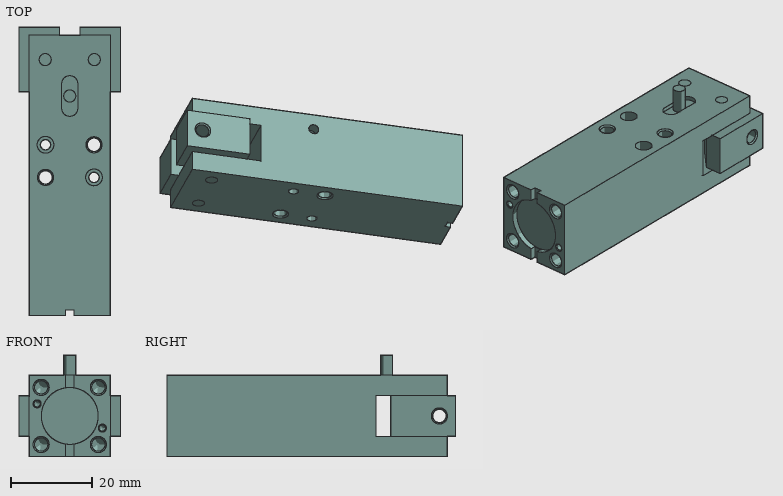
import cadquery as cq
import math

HOUSING_WIDTH = 20.0
HOUSING_HEIGHT = HOUSING_WIDTH
OVERALL_LENGTH = 71.0
JAW_OVERHANG = 2.0
HOUSING_LENGTH = OVERALL_LENGTH - JAW_OVERHANG
MID_HEIGHT = HOUSING_HEIGHT / 2

SIDES = (-1, 1)

JAW_WIDTH = 10.0
JAW_LENGTH = 16.0
JAW_HEIGHT = JAW_WIDTH
JAW_OUTER_X = 12.5
JAW_INNER_X = JAW_OUTER_X - JAW_WIDTH
JAW_HEEL_Y = OVERALL_LENGTH - JAW_LENGTH
JAW_HEEL_CHAMFER = 5.55
WINDOW_DEPTH = 17.55
PIVOT_DIAMETER = 3.0
PIVOT_X = 6.0
PIVOT_Y = OVERALL_LENGTH - 8.0
JAW_HOLE_Y = OVERALL_LENGTH - 4.0

TAP_DRILL = 3.3
TAP_MOUTH = 4.0
SMALL_TAP_DRILL = 1.55
SMALL_TAP_MOUTH = 2.0
DRILL_POINT_ANGLE = 118
END_HOLE_DEPTH = 8.0
END_HOLE_OFFSET = 7.0
SMALL_END_HOLE_DEPTH = 4.0
SMALL_END_HOLE_X = 8.0
SMALL_END_HOLE_RISE = 3.0

TOP_HOLE_X = 5.95
TOP_HOLE_ROWS = (34.0, 42.0)
DOWEL_HOLE = 2.5
DOWEL_COUNTERBORE = 4.1
DOWEL_COUNTERBORE_DEPTH = 3.3

SLOT_Y = OVERALL_LENGTH - 17.0
SLOT_LENGTH = 10.0
SLOT_WIDTH = 4.0
SLOT_DEPTH = 1.0
POST_DIAMETER = 3.0
POST_RISE = 5.0

PORT_DIAMETER = 2.5
PORT_DEPTH = 3.0
PORT_Y = 38.0
PORT_Z = 16.0

RECESS_DIAMETER = 14.0
RECESS_DEPTH = 1.5
KEY_SLOT_WIDTH = 2.0
KEY_SLOT_DEPTH = 1.35


def drilled_hole(diameter, depth):
    """Cutter for a blind hole with a drill point, running along +Z from the origin."""
    radius = diameter / 2
    tip = depth + radius / math.tan(math.radians(DRILL_POINT_ANGLE / 2))
    profile = [(0, 0), (radius, 0), (radius, depth), (0, tip)]
    return cq.Workplane("XZ").polyline(profile).close().revolve(360, (0, 0), (0, 1))


def countersink(bore, mouth):
    """Cutter for a 45 degree countersink, narrowing from mouth to bore along +Z from the origin."""
    return cq.Workplane(cq.Solid.makeCone(mouth / 2, bore / 2, (mouth - bore) / 2))


def tapped_hole(bore, mouth, depth):
    """Cutter for a countersunk blind hole, running along +Z from the origin."""
    return drilled_hole(bore, depth).union(countersink(bore, mouth))


def through_tapped_hole(bore, mouth, length):
    """Cutter for a hole countersunk at both ends, running along +Z from the origin."""
    near_mouth = countersink(bore, mouth)
    far_mouth = near_mouth.rotate((0, 0, 0), (1, 0, 0), 180).translate((0, 0, length))
    return upright_cylinder(bore, 0, 0, 0, length).union(near_mouth).union(far_mouth)


def upright_cylinder(diameter, x, y, bottom, top):
    """Vertical cylinder about (x, y) between two heights."""
    return cq.Workplane("XY").workplane(offset=bottom).center(x, y).circle(diameter / 2).extrude(top - bottom)


def cut_jaw_window(housing):
    """Window through the full width, open at the far end, with bores for the jaw pivots."""
    window = cq.Workplane("XY").box(HOUSING_WIDTH, WINDOW_DEPTH, JAW_HEIGHT).translate(
        (0, HOUSING_LENGTH - WINDOW_DEPTH / 2, MID_HEIGHT)
    )
    housing = housing.cut(window)
    for side in SIDES:
        housing = housing.cut(upright_cylinder(PIVOT_DIAMETER, side * PIVOT_X, PIVOT_Y, 0, HOUSING_HEIGHT))
    return housing


def cut_top_holes(housing):
    """Two tapped and two counterbored through holes, each pair set on a diagonal."""
    near_row, far_row = TOP_HOLE_ROWS
    for x, y in ((-TOP_HOLE_X, near_row), (TOP_HOLE_X, far_row)):
        housing = housing.cut(through_tapped_hole(TAP_DRILL, TAP_MOUTH, HOUSING_HEIGHT).translate((x, y, 0)))
    counterbore_floor = HOUSING_HEIGHT - DOWEL_COUNTERBORE_DEPTH
    for x, y in ((-TOP_HOLE_X, far_row), (TOP_HOLE_X, near_row)):
        housing = housing.cut(upright_cylinder(DOWEL_HOLE, x, y, 0, HOUSING_HEIGHT))
        housing = housing.cut(upright_cylinder(DOWEL_COUNTERBORE, x, y, counterbore_floor, HOUSING_HEIGHT))
    return housing


def add_guide_slot_and_post(housing):
    """Blind slot in the top face with a post standing on its floor."""
    slot_floor = HOUSING_HEIGHT - SLOT_DEPTH
    slot = (
        cq.Workplane("XY")
        .workplane(offset=slot_floor)
        .center(0, SLOT_Y)
        .slot2D(SLOT_LENGTH, SLOT_WIDTH, 90)
        .extrude(SLOT_DEPTH)
    )
    post = upright_cylinder(POST_DIAMETER, 0, SLOT_Y, slot_floor, HOUSING_HEIGHT + POST_RISE)
    return housing.cut(slot).union(post)


def cut_side_port(housing):
    """Blind port drilled into the -X side face."""
    port = drilled_hole(PORT_DIAMETER, PORT_DEPTH).rotate((0, 0, 0), (0, 1, 0), 90)
    return housing.cut(port.translate((-HOUSING_WIDTH / 2, PORT_Y, PORT_Z)))


def cut_front_end(housing):
    """Round recess, vertical key slot and mounting holes in the front end."""
    recess = cq.Workplane("XZ").center(0, MID_HEIGHT).circle(RECESS_DIAMETER / 2).extrude(-RECESS_DEPTH)
    key_slot = cq.Workplane("XZ").center(0, MID_HEIGHT).rect(KEY_SLOT_WIDTH, HOUSING_HEIGHT)
    housing = housing.cut(recess).cut(key_slot.extrude(-KEY_SLOT_DEPTH))

    mounting_hole = tapped_hole(TAP_DRILL, TAP_MOUTH, END_HOLE_DEPTH).rotate((0, 0, 0), (1, 0, 0), -90)
    for x in (-END_HOLE_OFFSET, END_HOLE_OFFSET):
        for rise in (-END_HOLE_OFFSET, END_HOLE_OFFSET):
            housing = housing.cut(mounting_hole.translate((x, 0, MID_HEIGHT + rise)))

    small_hole = tapped_hole(SMALL_TAP_DRILL, SMALL_TAP_MOUTH, SMALL_END_HOLE_DEPTH)
    small_hole = small_hole.rotate((0, 0, 0), (1, 0, 0), -90)
    for side in SIDES:
        height = MID_HEIGHT - side * SMALL_END_HOLE_RISE
        housing = housing.cut(small_hole.translate((side * SMALL_END_HOLE_X, 0, height)))
    return housing


def make_housing():
    """Square block holding the jaws, with all its holes, slots and recesses."""
    housing = cq.Workplane("XY").box(HOUSING_WIDTH, HOUSING_LENGTH, HOUSING_HEIGHT).translate(
        (0, HOUSING_LENGTH / 2, MID_HEIGHT)
    )
    housing = cut_jaw_window(housing)
    housing = cut_top_holes(housing)
    housing = add_guide_slot_and_post(housing)
    housing = cut_side_port(housing)
    return cut_front_end(housing)


def make_jaw(side):
    """Jaw with its pivot pin; side is -1 for the -X jaw and 1 for the +X jaw."""
    inner_x = side * JAW_INNER_X
    outer_x = side * JAW_OUTER_X
    outline = [
        (outer_x, JAW_HEEL_Y),
        (outer_x, OVERALL_LENGTH),
        (inner_x, OVERALL_LENGTH),
        (inner_x, JAW_HEEL_Y + JAW_HEEL_CHAMFER),
        (inner_x + side * JAW_HEEL_CHAMFER, JAW_HEEL_Y),
    ]
    jaw_bottom = MID_HEIGHT - JAW_HEIGHT / 2
    jaw = cq.Workplane("XY").workplane(offset=jaw_bottom).polyline(outline).close().extrude(JAW_HEIGHT)
    jaw = jaw.union(upright_cylinder(PIVOT_DIAMETER, side * PIVOT_X, PIVOT_Y, 0, HOUSING_HEIGHT))

    finger_hole = through_tapped_hole(TAP_DRILL, TAP_MOUTH, JAW_WIDTH).rotate((0, 0, 0), (0, 1, 0), 90)
    return jaw.cut(finger_hole.translate((min(inner_x, outer_x), JAW_HOLE_Y, MID_HEIGHT)))


housing = make_housing()
jaws = [make_jaw(side) for side in SIDES]

result = cq.Compound.makeCompound([housing.val(), *[jaw.val() for jaw in jaws]])